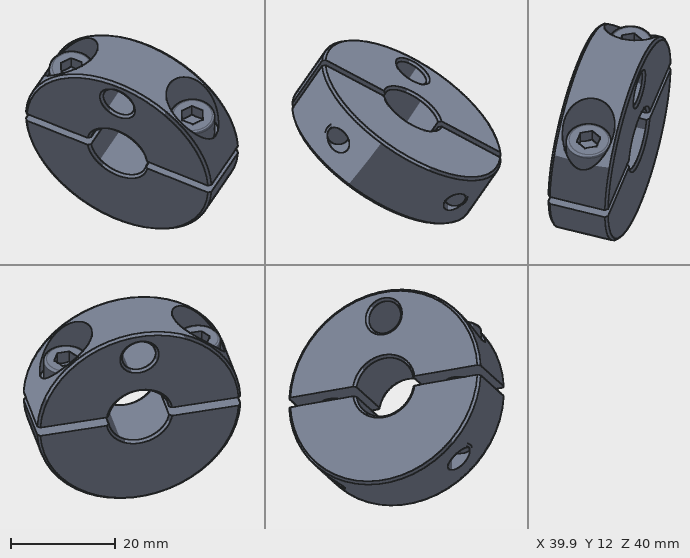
import cadquery as cq
import math

outer_diameter = 40.0
collar_width = 12.0
bore_diameter = 12.0
bore_mouth_diameter = 13.0
edge_chamfer = (bore_mouth_diameter - bore_diameter) / 2
split_gap = 2.0

side_hole_diameter = 6.6
side_hole_height = 14.5

screw_offset = 13.0
shank_diameter = 5.0
shank_length = 20.0
head_diameter = 8.5
head_height = shank_diameter
head_top = 12.0
head_round = edge_chamfer
tip_chamfer = 0.4
socket_flats = 4.0
socket_depth = 2.5
socket_cone_angle = 120.0

counterbore_diameter = 10.0
tap_drill_diameter = 4.2

outer_radius = outer_diameter / 2
head_seat = head_top - head_height
screw_tip = head_seat - shank_length
screw_positions = (-screw_offset, screw_offset)


def cylinder_along_y(diameter, height=0.0):
    """Cylinder across the collar width, with its axis at the given Z height."""
    return (
        cq.Workplane("XZ")
        .center(0, height)
        .circle(diameter / 2)
        .extrude(collar_width / 2, both=True)
    )


def cylinder_along_z(diameter, bottom, top, x=0.0):
    return cq.Workplane("XY", origin=(x, 0, bottom)).circle(diameter / 2).extrude(top - bottom)


def chamfered_hole(diameter, height=0.0):
    """Cutting tool for a hole along Y whose two mouths are chamfered."""
    tool = cylinder_along_y(diameter, height)
    for side in (-1, 1):
        mouth = (
            cq.Workplane("XZ", origin=(0, side * collar_width / 2, height))
            .circle(diameter / 2 + edge_chamfer)
            .workplane(offset=side * edge_chamfer)
            .circle(diameter / 2)
            .loft(ruled=True)
        )
        tool = tool.union(mouth)
    return tool


def make_ring():
    """Full collar ring with chamfered edges, before it is split."""
    disc = cylinder_along_y(outer_diameter).edges("%CIRCLE").chamfer(edge_chamfer)
    return disc.cut(chamfered_hole(bore_diameter))


def half_space(side):
    """Block that holds everything above (+1) or below (-1) the split gap."""
    height = outer_radius - split_gap / 2
    center_z = side * (outer_radius + split_gap / 2) / 2
    return cq.Workplane("XY", origin=(0, 0, center_z)).box(outer_diameter, collar_width, height)


def make_upper_half():
    half = make_ring().intersect(half_space(1))
    half = half.cut(chamfered_hole(side_hole_diameter, side_hole_height))
    for x in screw_positions:
        half = half.cut(cylinder_along_z(counterbore_diameter, head_seat, outer_radius, x))
        half = half.cut(cylinder_along_z(shank_diameter, 0, head_seat, x))
    return half


def make_screw_body():
    """Head and shank of a socket head screw, without its socket, standing on the Z axis."""
    head = cylinder_along_z(head_diameter, head_seat, head_top).faces(">Z").edges().fillet(head_round)
    shank = cylinder_along_z(shank_diameter, screw_tip, head_seat)
    return head.union(shank.faces("<Z").edges().chamfer(tip_chamfer))


def make_lower_half():
    half = make_ring().intersect(half_space(-1))
    for x in screw_positions:
        half = half.cut(cylinder_along_z(tap_drill_diameter, -outer_radius, 0, x))
        half = half.cut(make_screw_body().translate((x, 0, 0)))
    return half


def make_socket():
    """Cutting tool for the hexagon socket with a conical floor."""
    corner_diameter = socket_flats / math.cos(math.pi / 6)
    cone_depth = corner_diameter / 2 / math.tan(math.radians(socket_cone_angle / 2))
    hexagon = (
        cq.Workplane("XY", origin=(0, 0, head_top - socket_depth - cone_depth))
        .polygon(6, corner_diameter)
        .extrude(socket_depth + cone_depth)
    )
    pointed_rod = (
        cq.Workplane("XZ")
        .moveTo(0, head_top)
        .lineTo(corner_diameter / 2, head_top)
        .lineTo(corner_diameter / 2, head_top - socket_depth)
        .lineTo(0, head_top - socket_depth - cone_depth)
        .close()
        .revolve(360, (0, 0, 0), (0, 1, 0))
    )
    return hexagon.intersect(pointed_rod)


def make_screw(x):
    return make_screw_body().cut(make_socket()).translate((x, 0, 0))


upper_half = make_upper_half()
lower_half = make_lower_half()
screws = [make_screw(x) for x in screw_positions]

result = cq.Compound.makeCompound(
    [upper_half.val(), lower_half.val(), *[screw.val() for screw in screws]]
)